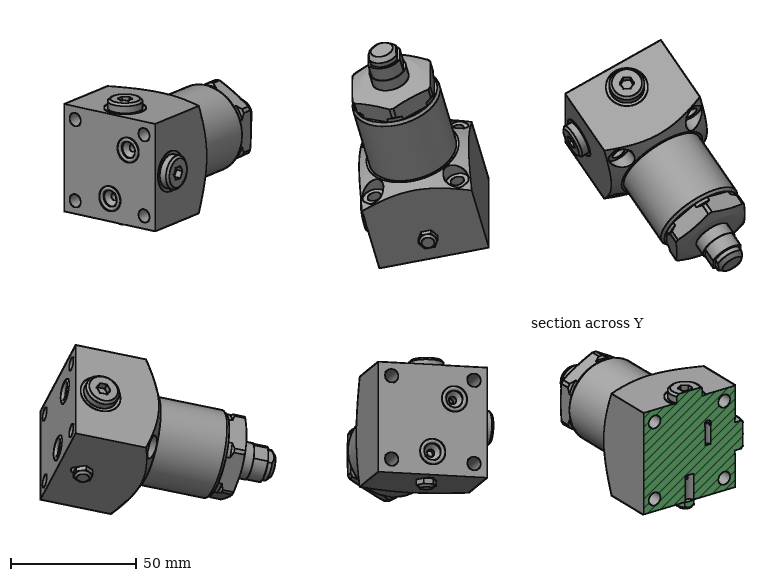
import math

import cadquery as cq

BLOCK_SIDE = 45.0
HALF_SIDE = BLOCK_SIDE / 2
BLOCK_LENGTH = 37.0
BLOCK_BACK_RADIUS = 19.0
BLOCK_TAPER = math.tan(math.radians(30))
BLOCK_CORNER_RADIUS = 32.0

MOUNT_OFFSET = 17.0
MOUNT_DIAMETER = 5.5
MOUNT_HEAD_DIAMETER = 9.5
MOUNT_HEAD_SEAT = 31.5

HOUSING_RADIUS = 18.0
HOUSING_END = 66.4
HOUSING_CHAMFER_LENGTH = 1.3
HOUSING_CHAMFER_DEPTH = 0.9

CAP_END = 75.0
CAP_FLATS = 32.0
CAP_RADIUS = 18.0
CAP_NECK_RADIUS = 17.0
CAP_NECK_END = 68.0
CAP_TOP_RADIUS = 12.4
CAP_TAPER = math.tan(math.radians(15))

COLLAR_RADIUS = 7.5
COLLAR_END = 80.1
STEP_RADIUS = 7.3
STEP_FLATS = 13.0
STEP_END = 86.2
TIP_RADIUS = 6.3
TIP_FLATS = 11.0
TIP_END = 90.0
TIP_CHAMFER = 1.8

PLUG_Y = 10.5
PLUG_RADIUS = 7.0
PLUG_HEIGHT = 3.75
PLUG_CHAMFER = 1.0
PLUG_SOCKET_FLATS = 5.0
PLUG_SOCKET_DEPTH = 3.0
PLUG_SEAT_RADIUS = 8.4
PLUG_SEAT_DEPTH = 0.2

SCREW_FLATS = 7.0
SCREW_HEX_HEIGHT = 2.2
SCREW_HEIGHT = 3.32
SCREW_END_RADIUS = 2.6

UPPER_PORT_X = 9.0
UPPER_PORT_Z = 9.0
LOWER_PORT_X = 0.0
LOWER_PORT_Z = -13.0
RING_SECTION_RADIUS = 0.9
RING_MEAN_RADIUS = 4.3
RING_PROTRUSION = 0.45
RING_SEAT_RADIUS = RING_MEAN_RADIUS + RING_SECTION_RADIUS
RING_SQUEEZE = 0.1
RING_SEAT_DEPTH = 2 * RING_SECTION_RADIUS - RING_PROTRUSION - RING_SQUEEZE
PORT_DRILL_RADIUS = 1.5
PORT_DRILL_DEPTH = 8.0
PORT_POINT_ANGLE = 118.0
PORT_POINT_LENGTH = PORT_DRILL_RADIUS / math.tan(math.radians(PORT_POINT_ANGLE / 2))
PORT_CONE_RADIUS = 3.5
PORT_CONE_DEPTH = 2.0

CROSS_BORE_Y = 7.5
UPPER_CROSS_RADIUS = 1.25
LOWER_CROSS_RADIUS = 2.0
ORIFICE_RADIUS = 0.6
ORIFICE_DEPTH = 4.0


def revolve_about_y(points):
    """Solid of revolution about Y from (radius, Y) points; the axis closes it."""
    return cq.Workplane("XY").polyline(points).close().revolve(360, (0, 0, 0), (0, 1, 0))


def cylinder_along_y(radius, y_start, y_end, x=0.0, z=0.0):
    axis = cq.Vector(0, 1, 0)
    return cq.Workplane(cq.Solid.makeCylinder(radius, y_end - y_start, cq.Vector(x, y_start, z), axis))


def hexagon(plane, across_flats, height, turn=0.0):
    """Hexagonal prism standing on the plane, turned about the plane's normal."""
    corner_diameter = across_flats / math.cos(math.radians(30))
    return plane.transformed(rotate=(0, 0, turn)).polygon(6, corner_diameter).extrude(height)


def make_block():
    cube = cq.Workplane("XY").box(BLOCK_SIDE, BLOCK_LENGTH, BLOCK_SIDE).translate((0, BLOCK_LENGTH / 2, 0))
    corner_y = BLOCK_LENGTH - (BLOCK_CORNER_RADIUS - BLOCK_BACK_RADIUS) * BLOCK_TAPER
    turned = revolve_about_y([
        (0, 0),
        (BLOCK_CORNER_RADIUS, 0),
        (BLOCK_CORNER_RADIUS, corner_y),
        (BLOCK_BACK_RADIUS, BLOCK_LENGTH),
        (0, BLOCK_LENGTH),
    ])
    return cube.intersect(turned)


def make_housing():
    """Round housing with a steep chamfer at its end; it starts inside the block."""
    return revolve_about_y([
        (0, MOUNT_HEAD_SEAT),
        (HOUSING_RADIUS, MOUNT_HEAD_SEAT),
        (HOUSING_RADIUS, HOUSING_END - HOUSING_CHAMFER_LENGTH),
        (HOUSING_RADIUS - HOUSING_CHAMFER_DEPTH, HOUSING_END),
        (0, HOUSING_END),
    ])


def make_cap():
    plane = cq.Workplane("XZ", origin=(0, CAP_END, 0))
    prism = hexagon(plane, CAP_FLATS, CAP_END - HOUSING_END, turn=30)
    turned = revolve_about_y([
        (0, HOUSING_END),
        (CAP_NECK_RADIUS, HOUSING_END),
        (CAP_NECK_RADIUS, CAP_NECK_END),
        (CAP_RADIUS, CAP_NECK_END + CAP_RADIUS - CAP_NECK_RADIUS),
        (CAP_RADIUS, CAP_END - (CAP_RADIUS - CAP_TOP_RADIUS) * CAP_TAPER),
        (CAP_TOP_RADIUS, CAP_END),
        (0, CAP_END),
    ])
    return prism.intersect(turned)


def flatten_sides(body, across_flats):
    """Cut two flats facing -X and +X."""
    slab_size = 2 * TIP_END
    return body.intersect(cq.Workplane("XY").box(across_flats, slab_size, slab_size))


def make_stem():
    collar = cylinder_along_y(COLLAR_RADIUS, HOUSING_END, COLLAR_END)
    step = cylinder_along_y(STEP_RADIUS, HOUSING_END, STEP_END)
    tip = cylinder_along_y(TIP_RADIUS, HOUSING_END, TIP_END).faces(">Y").chamfer(TIP_CHAMFER)
    return collar.union(flatten_sides(step, STEP_FLATS)).union(flatten_sides(tip, TIP_FLATS))


def cut_mounting_holes(body):
    for x in (-MOUNT_OFFSET, MOUNT_OFFSET):
        for z in (-MOUNT_OFFSET, MOUNT_OFFSET):
            body = body.cut(cylinder_along_y(MOUNT_DIAMETER / 2, 0, BLOCK_LENGTH, x, z))
            body = body.cut(cylinder_along_y(MOUNT_HEAD_DIAMETER / 2, MOUNT_HEAD_SEAT, BLOCK_LENGTH, x, z))
    return body


def fit_plug(body, face_plane, socket_turn):
    """Sink a spot face into the block and fit a chamfered plug with a hexagon socket."""
    seat = face_plane.circle(PLUG_SEAT_RADIUS).extrude(-PLUG_SEAT_DEPTH)
    seated = face_plane.workplane(offset=-PLUG_SEAT_DEPTH)
    plug = seated.circle(PLUG_RADIUS).extrude(PLUG_SEAT_DEPTH + PLUG_HEIGHT)
    outer_face = cq.selectors.DirectionMinMaxSelector(face_plane.plane.zDir, True)
    plug = plug.faces(outer_face).chamfer(PLUG_CHAMFER)
    socket_plane = face_plane.workplane(offset=PLUG_HEIGHT)
    socket = hexagon(socket_plane, PLUG_SOCKET_FLATS, -PLUG_SOCKET_DEPTH, socket_turn)
    return body.cut(seat).union(plug).cut(socket)


def make_bottom_screw():
    face_plane = cq.Workplane("XY", origin=(0, PLUG_Y, -HALF_SIDE))
    head = hexagon(face_plane, SCREW_FLATS, -SCREW_HEX_HEIGHT)
    cone_height = SCREW_HEIGHT - SCREW_HEX_HEIGHT
    cone_base = cq.Vector(0, PLUG_Y, -HALF_SIDE - SCREW_HEX_HEIGHT)
    cone = cq.Solid.makeCone(SCREW_FLATS / 2, SCREW_END_RADIUS, cone_height, cone_base, cq.Vector(0, 0, -1))
    return head.union(cq.Workplane(cone))


def fit_port(body, x, z):
    """Drill a countersunk port and seat an O-ring around its mouth."""
    bore = revolve_about_y([
        (0, 0),
        (RING_SEAT_RADIUS, 0),
        (RING_SEAT_RADIUS, RING_SEAT_DEPTH),
        (PORT_CONE_RADIUS, RING_SEAT_DEPTH),
        (PORT_DRILL_RADIUS, RING_SEAT_DEPTH + PORT_CONE_DEPTH),
        (PORT_DRILL_RADIUS, PORT_DRILL_DEPTH),
        (0, PORT_DRILL_DEPTH + PORT_POINT_LENGTH),
    ])
    ring_y = RING_SECTION_RADIUS - RING_PROTRUSION
    ring_centre = cq.Vector(x, ring_y, z)
    ring = cq.Solid.makeTorus(RING_MEAN_RADIUS, RING_SECTION_RADIUS, ring_centre, cq.Vector(0, 1, 0))
    return body.cut(bore.translate((x, 0, z))).union(cq.Workplane(ring))


def cross_bore(radius, x, z_low, z_high):
    return cq.Workplane("XY", origin=(x, CROSS_BORE_Y, z_low)).circle(radius).extrude(z_high - z_low)


def cut_passages(body):
    """Lead the upper port down to mid height, the lower one to the screw and an orifice."""
    upper = cross_bore(UPPER_CROSS_RADIUS, UPPER_PORT_X, 0, UPPER_PORT_Z)
    lower_top = LOWER_PORT_Z + LOWER_CROSS_RADIUS
    lower = cross_bore(LOWER_CROSS_RADIUS, LOWER_PORT_X, -HALF_SIDE, lower_top)
    orifice_end = CROSS_BORE_Y + LOWER_CROSS_RADIUS + ORIFICE_DEPTH
    orifice = cylinder_along_y(ORIFICE_RADIUS, CROSS_BORE_Y, orifice_end, LOWER_PORT_X, LOWER_PORT_Z)
    return body.cut(upper).cut(lower).cut(orifice)


body = cut_mounting_holes(make_block())
body = body.union(make_housing()).union(make_cap()).union(make_stem())
body = fit_plug(body, cq.Workplane("XY", origin=(0, PLUG_Y, HALF_SIDE)), socket_turn=90)
body = fit_plug(body, cq.Workplane("YZ", origin=(HALF_SIDE, PLUG_Y, 0)), socket_turn=0)
body = fit_port(body, UPPER_PORT_X, UPPER_PORT_Z)
body = fit_port(body, LOWER_PORT_X, LOWER_PORT_Z)
body = cut_passages(body).union(make_bottom_screw())
result = body